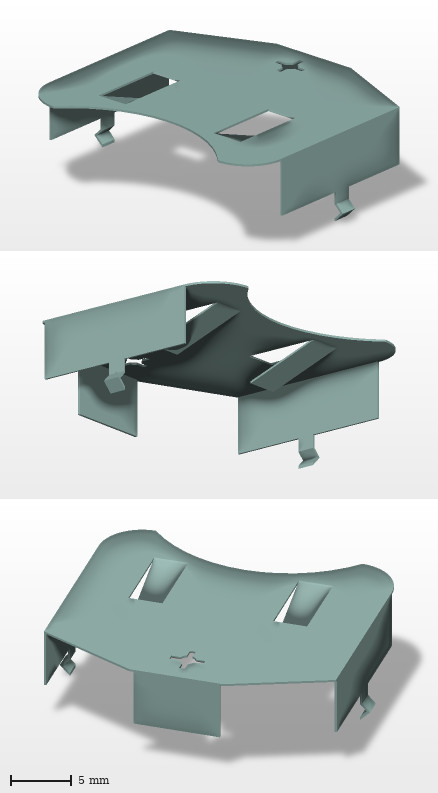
import cadquery as cq

SHEET = 0.2

PLATE_WIDTH = 25.63
PLATE_DEPTH = 22.6
HALF_WIDTH = PLATE_WIDTH / 2
HALF_DEPTH = PLATE_DEPTH / 2
CORNER_RADIUS = 3.79
NOTCH_TOP_Y = -7.35
LEFT_SHOULDER_Y = 7.75
RIGHT_SHOULDER_Y = 7.45
BACK_EDGE_LEFT_X = -4.05
BACK_EDGE_RIGHT_X = 4.15

CROSS_Y = 8.33
CROSS_SPAN = 2.97
CROSS_ARM_WIDTH = 0.5
CROSS_HOLE_RADIUS = 0.7

FINGER_X = 6.33
FINGER_WIDTH = 2.97
WINDOW_BACK_Y = 0.03
WINDOW_BACK_SLANT = 0.08
WINDOW_FRONT_Y = -7.03
FINGER_GAP = 0.27
FINGER_DROP = 2.6
FINGER_ROOT_RUN = 0.15
FINGER_ROOT_DROP = 0.08

WALL_HEIGHT = 5.16
WALL_FRONT_Y = HALF_DEPTH - CORNER_RADIUS
HOOK_WIDTH = 1.57
HOOK_OFFSET_Y = 0.2
HOOK_REACH = 13.52
OVERALL_HEIGHT = 7.85
HOOK_INSET = 0.27

BACK_WALL_WIDTH = 7.57
BACK_WALL_THICKNESS = 0.25

WALL_INNER_X = HALF_WIDTH - SHEET
HOOK_PEAK_Z = -OVERALL_HEIGHT + (HOOK_REACH - WALL_INNER_X)
HOOK_BEND_Z = HOOK_PEAK_Z + (HOOK_REACH - HALF_WIDTH)


def make_plate():
    """Flat plate with slanted back corners, round front corners and a notch."""
    corner_x = HALF_WIDTH - CORNER_RADIUS
    corner_y = -HALF_DEPTH + CORNER_RADIUS
    arc_offset = CORNER_RADIUS * 0.5 ** 0.5
    return (
        cq.Workplane("XY")
        .moveTo(BACK_EDGE_LEFT_X, HALF_DEPTH)
        .lineTo(BACK_EDGE_RIGHT_X, HALF_DEPTH)
        .lineTo(HALF_WIDTH, RIGHT_SHOULDER_Y)
        .lineTo(HALF_WIDTH, corner_y)
        .threePointArc((corner_x + arc_offset, corner_y - arc_offset), (corner_x, -HALF_DEPTH))
        .threePointArc((0, NOTCH_TOP_Y), (-corner_x, -HALF_DEPTH))
        .threePointArc((-corner_x - arc_offset, corner_y - arc_offset), (-HALF_WIDTH, corner_y))
        .lineTo(-HALF_WIDTH, LEFT_SHOULDER_Y)
        .close()
        .extrude(-SHEET)
    )


def make_cross_cutter():
    """Round hole crossed by two narrow slots."""
    plane = cq.Workplane("XY").center(0, CROSS_Y)
    return (
        plane.circle(CROSS_HOLE_RADIUS).extrude(-SHEET)
        .union(plane.rect(CROSS_SPAN, CROSS_ARM_WIDTH).extrude(-SHEET))
        .union(plane.rect(CROSS_ARM_WIDTH, CROSS_SPAN).extrude(-SHEET))
    )


def make_window_cutter(x):
    """Rectangular opening above a spring finger, with a slightly slanted back edge."""
    return (
        cq.Workplane("YZ", origin=(x - FINGER_WIDTH / 2, 0, 0))
        .polyline([
            (WINDOW_FRONT_Y, 0),
            (WINDOW_BACK_Y, 0),
            (WINDOW_BACK_Y - WINDOW_BACK_SLANT, -SHEET),
            (WINDOW_FRONT_Y, -SHEET),
        ])
        .close()
        .extrude(FINGER_WIDTH)
    )


def make_finger(x):
    """Sloping finger rooted on the front edge of its window."""
    tip_y = WINDOW_BACK_Y - FINGER_GAP
    return (
        cq.Workplane("YZ", origin=(x - FINGER_WIDTH / 2, 0, 0))
        .polyline([
            (WINDOW_FRONT_Y, 0),
            (WINDOW_FRONT_Y + FINGER_ROOT_RUN, -FINGER_ROOT_DROP),
            (tip_y, -FINGER_DROP + SHEET),
            (tip_y, -FINGER_DROP),
            (WINDOW_FRONT_Y, -SHEET),
        ])
        .close()
        .extrude(FINGER_WIDTH)
    )


def make_side_wall(side, back_y):
    """Wall under a plate side with its hook; side is -1 for left, +1 for right."""
    wall = (
        cq.Workplane("XY")
        .center(side * (HALF_WIDTH - SHEET / 2), (back_y - WALL_FRONT_Y) / 2)
        .rect(SHEET, back_y + WALL_FRONT_Y)
        .extrude(-WALL_HEIGHT)
    )
    inner_peak_x = HOOK_REACH - HOOK_INSET
    inner_run = inner_peak_x - WALL_INNER_X
    hook_profile = [
        (HALF_WIDTH, -WALL_HEIGHT),
        (HALF_WIDTH, HOOK_BEND_Z),
        (HOOK_REACH, HOOK_PEAK_Z),
        (WALL_INNER_X, -OVERALL_HEIGHT),
        (WALL_INNER_X, HOOK_PEAK_Z - inner_run),
        (inner_peak_x, HOOK_PEAK_Z),
        (WALL_INNER_X, HOOK_PEAK_Z + inner_run),
        (WALL_INNER_X, -WALL_HEIGHT),
    ]
    hook_back_y = side * HOOK_OFFSET_Y + HOOK_WIDTH / 2
    hook = (
        cq.Workplane("XZ", origin=(0, hook_back_y, 0))
        .polyline([(side * x, z) for x, z in hook_profile])
        .close()
        .extrude(HOOK_WIDTH)
    )
    return wall.union(hook)


def make_bracket():
    """Plate, cut-outs, spring fingers and both hooked side walls."""
    body = make_plate().cut(make_cross_cutter())
    for x in (-FINGER_X, FINGER_X):
        body = body.cut(make_window_cutter(x)).union(make_finger(x))
    for side, back_y in ((-1, WALL_FRONT_Y), (1, min(WALL_FRONT_Y, RIGHT_SHOULDER_Y))):
        body = body.union(make_side_wall(side, back_y))
    return body


def make_back_wall():
    """Upright wall resting against the underside of the plate's back edge."""
    return (
        cq.Workplane("XY", origin=(0, HALF_DEPTH - BACK_WALL_THICKNESS / 2, -SHEET))
        .rect(BACK_WALL_WIDTH, BACK_WALL_THICKNESS)
        .extrude(SHEET - WALL_HEIGHT)
    )


bracket = make_bracket()
back_wall = make_back_wall()

result = cq.Compound.makeCompound([bracket.val(), back_wall.val()])